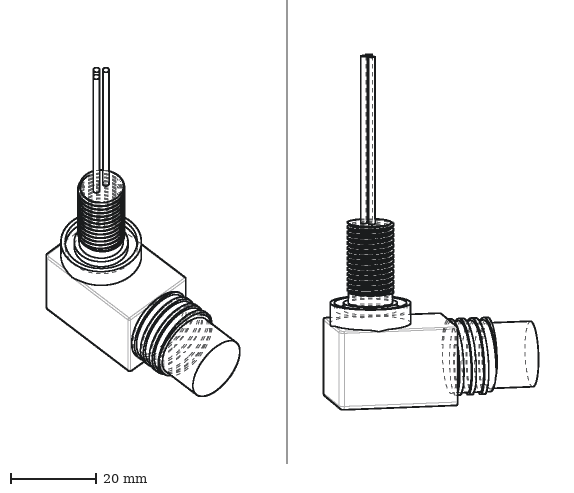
import cadquery as cq
block_length = 28.6
block_width = 19.0
block_height = 19.0
corner_radius = 1.1
small_edge_radius = 0.4

collar_diameter = block_width
collar_height = 4.8
groove_outer_diameter = 17.0
groove_inner_diameter = 12.7
groove_depth = 1.7

stem_x = collar_diameter / 2
neck_diameter = 10.4
stem_core_diameter = 9.8
stem_thread_diameter = 11.0
stem_thread_pitch = 1.25
stem_root_width = 1.1
stem_crest_width = 0.25
stem_thread_length = 16.6
stem_neck_height = 2.6

wire_diameter = 1.5
wire_offset = 1.6
overall_height = 82.8

connector_z = (block_height + corner_radius) / 2
connector_core_diameter = 17.0
connector_core_length = 9.4
connector_thread_pitch = 3.0
connector_thread_diameter = 18.05
connector_root_width = 1.3
connector_crest_width = 1.0
connector_thread_start = 1.65
plug_diameter = 15.5
overall_length = 48.3

ridge_sink = 0.2

overlap = 0.8

block_top = block_height
collar_top = block_top + collar_height
stem_thread_bottom = collar_top + stem_neck_height
stem_top = stem_thread_bottom + stem_thread_length


def cylinder(diameter, bottom, top):
    """Cylinder on the Z axis between two heights."""
    return cq.Workplane("XY").workplane(offset=bottom).circle(diameter / 2).extrude(top - bottom)


def threaded_rod(core_diameter, crest_diameter, pitch, root_width, crest_width, length, start):
    """Right-handed threaded rod from Z = 0 to length; a crest passes the +X side at Z = start."""
    root_radius = core_diameter / 2 - ridge_sink
    crest_radius = crest_diameter / 2
    helix_length = length + 2 * pitch
    path = cq.Wire.makeHelix(pitch, helix_length, core_diameter / 2)
    ridge = (
        cq.Workplane("XZ")
        .polyline([
            (root_radius, -root_width / 2),
            (crest_radius, -crest_width / 2),
            (crest_radius, crest_width / 2),
            (root_radius, root_width / 2),
        ])
        .close()
        .sweep(cq.Workplane(obj=path), isFrenet=True)
        .translate((0, 0, start - pitch))
    )
    core = cylinder(core_diameter, -2 * pitch, helix_length + pitch)
    return core.union(ridge).intersect(cylinder(2 * crest_diameter, 0, length))


def make_block():
    block = cq.Workplane("XY").box(block_length, block_width, block_height, centered=(False, True, False))
    block = block.edges("|Z and <X").fillet(corner_radius)
    block = block.faces("<Z").edges("not >X").fillet(corner_radius)
    return block.faces(">X or >Z").edges().fillet(small_edge_radius)


def make_stem():
    collar = cylinder(collar_diameter, block_top - corner_radius, collar_top)
    groove = cylinder(groove_outer_diameter, collar_top - groove_depth, collar_top).cut(
        cylinder(groove_inner_diameter, collar_top - groove_depth, collar_top)
    )
    neck = cylinder(neck_diameter, collar_top - groove_depth, stem_thread_bottom)
    thread = threaded_rod(
        stem_core_diameter, stem_thread_diameter, stem_thread_pitch,
        stem_root_width, stem_crest_width, stem_thread_length, 0
    )
    return collar.cut(groove).union(neck).union(thread.translate((0, 0, stem_thread_bottom)))


def make_wires():
    return (
        cq.Workplane("XY")
        .workplane(offset=stem_top - overlap)
        .pushPoints([(0, wire_offset), (-wire_offset, 0), (0, -wire_offset)])
        .circle(wire_diameter / 2)
        .extrude(overall_height - stem_top + overlap)
    )


def make_connector():
    plug = cylinder(plug_diameter, -overlap, overall_length - block_length)
    thread = threaded_rod(
        connector_core_diameter, connector_thread_diameter, connector_thread_pitch,
        connector_root_width, connector_crest_width, connector_core_length, connector_thread_start
    )
    return plug.union(thread).rotate((0, 0, 0), (0, 1, 0), 90)


result = (
    make_block()
    .union(make_stem().translate((stem_x, 0, 0)))
    .union(make_wires().translate((stem_x, 0, 0)))
    .union(make_connector().translate((block_length, 0, connector_z)))
)